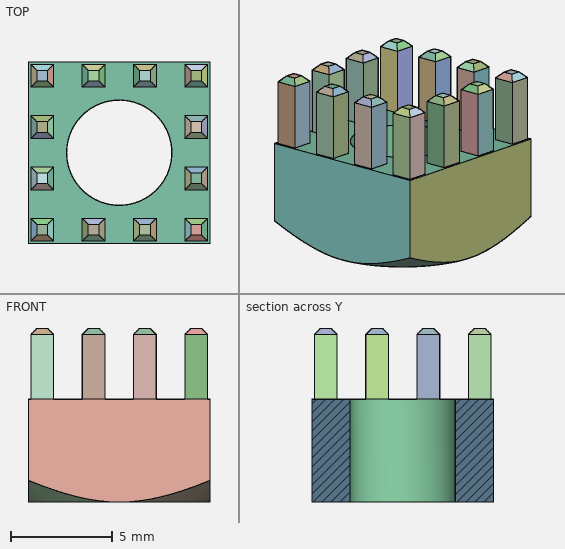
import cadquery as cq
import math

body_width = 9.0
body_height = 5.1
bore_diameter = 5.2

relief_angle = 30.0
relief_clearance = 1.0

pin_pitch = 2.54
pins_per_side = 4
pin_width = 1.13
pin_length = 3.5
pin_tip_chamfer = 0.3


def make_block():
    return cq.Workplane("XY").box(body_width, body_width, body_height, centered=(True, True, False))


def make_relief_envelope():
    """Solid of revolution whose cone starts at the circle inscribed in the bottom square."""
    inscribed_radius = body_width / 2
    corner_radius = inscribed_radius * math.sqrt(2)
    outer_radius = corner_radius + relief_clearance
    cone_height = (outer_radius - inscribed_radius) * math.tan(math.radians(relief_angle))
    profile = [
        (0, 0),
        (inscribed_radius, 0),
        (outer_radius, cone_height),
        (outer_radius, body_height),
        (0, body_height),
    ]
    return cq.Workplane("XZ").polyline(profile).close().revolve(360, (0, 0), (0, 1))


def pin_positions():
    """Centres of the outermost ring of a square grid."""
    last = pins_per_side - 1
    offset = last * pin_pitch / 2
    return [
        (column * pin_pitch - offset, row * pin_pitch - offset)
        for column in range(pins_per_side)
        for row in range(pins_per_side)
        if column in (0, last) or row in (0, last)
    ]


def make_pin():
    pin = cq.Workplane("XY").box(pin_width, pin_width, pin_length, centered=(True, True, False))
    return pin.faces(">Z").chamfer(pin_tip_chamfer)


def make_body():
    body = make_block().intersect(make_relief_envelope())
    return body.faces(">Z").workplane(origin=(0, 0, body_height)).hole(bore_diameter)


result = make_body()
for x, y in pin_positions():
    result = result.union(make_pin().translate((x, y, body_height)))